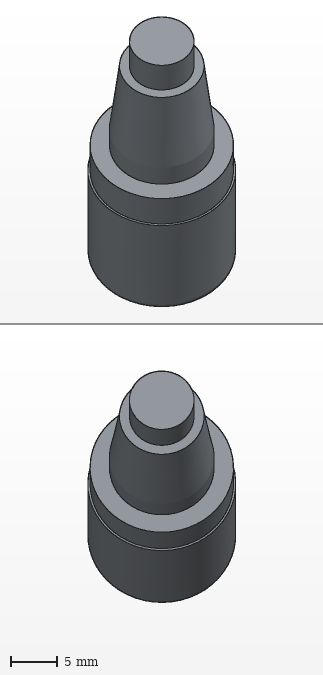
import cadquery as cq

overall_height = 34.9
sleeve_height = 13.85
collar_top = 17.97
taper_start = 20.65
taper_top = 30.9

sleeve_radius = 8.0
collar_radius = 7.75
neck_radius = 5.65
taper_top_radius = 4.57
rod_radius = 3.5

sleeve_edge_fillet = 1.0


def make_sleeve():
    """Plain round base with a rounded lower rim."""
    sleeve = cq.Workplane("XY").circle(sleeve_radius).extrude(sleeve_height)
    return sleeve.faces("<Z").edges().fillet(sleeve_edge_fillet)


def make_stem():
    """Turned stem standing on the sleeve: collar, neck, taper and end rod."""
    half_profile = [
        (0, sleeve_height),
        (collar_radius, sleeve_height),
        (collar_radius, collar_top),
        (neck_radius, collar_top),
        (neck_radius, taper_start),
        (taper_top_radius, taper_top),
        (rod_radius, taper_top),
        (rod_radius, overall_height),
        (0, overall_height),
    ]
    return cq.Workplane("XZ").polyline(half_profile).close().revolve(360, (0, 0), (0, 1))


sleeve = make_sleeve()
stem = make_stem()

result = cq.Compound.makeCompound([sleeve.val(), stem.val()])